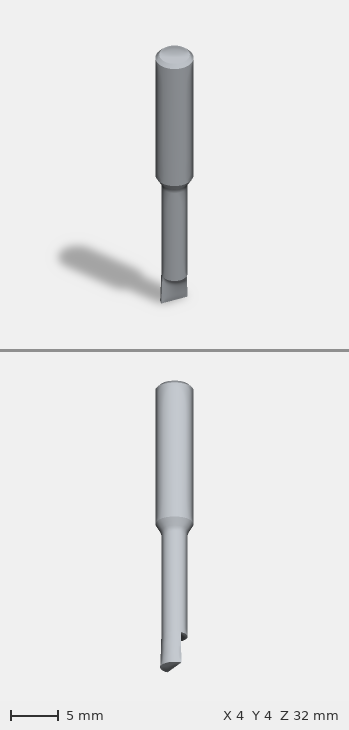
import cadquery as cq
import math

overall_length = 32.0
shank_radius = 4.0 / 2
shank_chamfer = 0.4

neck_radius = 2.76 / 2
neck_bottom = 3.5
neck_top = 15.0
shoulder_half_angle = math.radians(30)
shoulder_fillet_radius = 1.0

tip_end_radius = 1.5

fillet_end_radius = neck_radius + shoulder_fillet_radius * (1 - math.cos(shoulder_half_angle))
fillet_end_height = neck_top + shoulder_fillet_radius * math.sin(shoulder_half_angle)
half_arc_angle = shoulder_half_angle / 2
fillet_middle = (
    neck_radius + shoulder_fillet_radius * (1 - math.cos(half_arc_angle)),
    neck_top + shoulder_fillet_radius * math.sin(half_arc_angle),
)
shank_bottom = fillet_end_height + (shank_radius - fillet_end_radius) / math.tan(shoulder_half_angle)


def make_holder():
    """Round shank, shoulder and neck, revolved from one half profile."""
    return (
        cq.Workplane("XZ")
        .moveTo(0, neck_bottom)
        .lineTo(neck_radius, neck_bottom)
        .lineTo(neck_radius, neck_top)
        .threePointArc(fillet_middle, (fillet_end_radius, fillet_end_height))
        .lineTo(shank_radius, shank_bottom)
        .lineTo(shank_radius, overall_length - shank_chamfer)
        .lineTo(shank_radius - shank_chamfer, overall_length)
        .lineTo(0, overall_length)
        .close()
        .revolve(360, (0, 0), (0, 1))
    )


def make_cutting_tip():
    """Half cone on the -X side that widens downward from the neck to its flat end."""
    return (
        cq.Workplane("YZ")
        .lineTo(tip_end_radius, 0)
        .lineTo(neck_radius, neck_bottom)
        .lineTo(0, neck_bottom)
        .close()
        .revolve(180, (0, 0), (0, 1))
    )


holder = make_holder()
cutting_tip = make_cutting_tip()

result = cq.Compound.makeCompound([holder.val(), cutting_tip.val()])